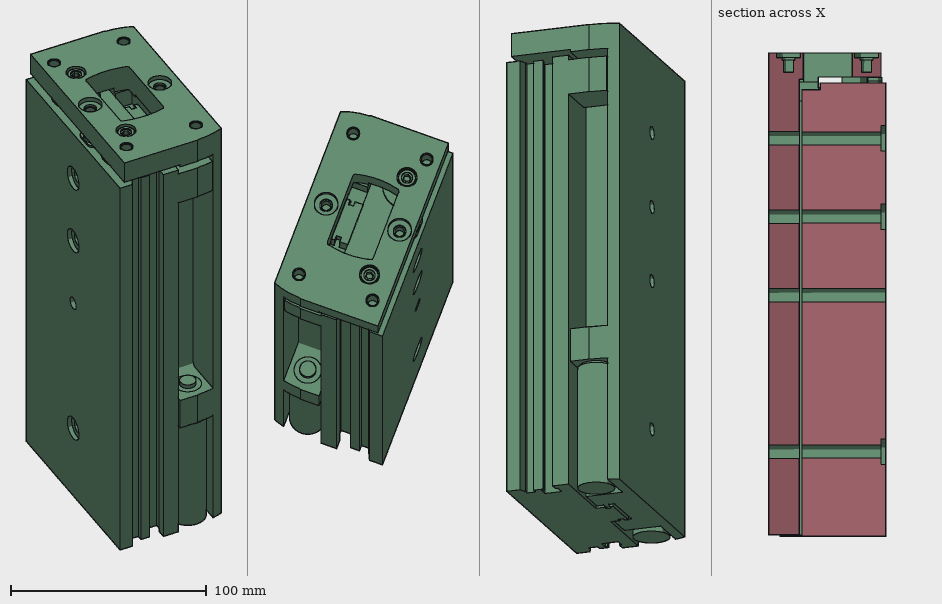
import cadquery as cq

LENGTH = 246.8
WIDTH = 104.0
DEPTH = 60.0
HALF_WIDTH = WIDTH / 2
PITCH = 40.0

FLANK_EDGE_Y = 44.7
FLANK_START_X = 51.5
FLANK_START_Y = 45.7
FLANK_MID_X = 50.8
FLANK_MID_Y = 52.5
REAR_HALF_WIDTH = 48.5

HOUSING_TOP = 231.5
HOUSING_REAR_Y = 33.5
FLANGE_Y = 7.2
FLANGE_BEVEL_Y = 1.7
FLANGE_BEVEL_X = 3.7
SIDE_RECESS_TOP_Y = 13.5
SIDE_RECESS_DEPTH = 6.0
RIB_INSET = 3.0
SLOT_LOW_Y = 18.5
SLOT_HIGH_Y = 25.0
SLOT_LIP = 4.7
SLOT_UNDERCUT = 1.2
SLOT_DEPTH = 9.9
STOP_BOTTOM = 210.5
STOP_TOP = 229.0
STOP_REAR_Y = 53.8
STOP_CLEARANCE = 0.7

PLUG_X = 8.5
PLUG_Y = 5.7
PLUG_LENGTH = 14.3
PLUG_WIDTH = 7.5
PLUG_FOOT_HEIGHT = 1.0
PLUG_HEIGHT = 2.7

RAIL_HALF_WIDTH = 11.4
RAIL_REAR_Y = 43.0
RAIL_TOP = 228.0
NOTCH_HALF_WIDTH = 9.0
NOTCH_LOW_Y = 38.3
NOTCH_HIGH_Y = 41.0

MOUNT_HOLE_D = 6.5
MOUNT_BORE_D = 12.8
MOUNT_BORE_DEPTH = 2.5
PLAIN_HOLE_D = 6.7
PLAIN_HOLE_Z = 123.2
COUNTERBORED_Z = [PLAIN_HOLE_Z + 2 * PITCH, PLAIN_HOLE_Z + PITCH, PLAIN_HOLE_Z - 2 * PITCH]

TABLE_BOTTOM = 0.7
TABLE_FRONT_Y = 34.5
CARRIAGE_HALF_WIDTH = 28.5
CHANNEL_HALF_WIDTH = 12.5
CHANNEL_REAR_Y = 44.2
POCKET_REAR_Y = 54.3
POCKET_TOP = 233.2
POCKET_FILLET = 2.5
BLOCK_BOTTOM = 66.1
BLOCK_TOP = 83.7
END_PLATE_BOTTOM = 234.5
END_PLATE_FRONT_Y = 2.5

WINDOW_LOW_Y = 17.3
WINDOW_HIGH_Y = 42.2
WINDOW_HALF_WIDTH = 19.7
WINDOW_MID_HALF_WIDTH = 21.5
WINDOW_FILLET = 1.5
RECESS_BOTTOM = 222.0
RECESS_TOP = 232.0

FIX_LOW_Y = 9.9
FIX_HIGH_Y = FIX_LOW_Y + PITCH
FIX_DEPTH = 9.9
CORNER_HOLE_D = 5.5
CORNER_HOLE_MOUTH_D = 6.7
CENTER_HOLE_D = 5.0
CENTER_HOLE_MOUTH_D = 6.5
CENTER_HOLE_MOUTH_DEPTH = 3.7
CENTER_BORE_D = 12.0
CENTER_BORE_DEPTH = 2.5

ROD_X = 27.6
ROD_Y = 16.0
ROD_D = 12.8
ROD_BOTTOM = 49.4
GLAND_D = 25.0
GLAND_DEPTH = 1.2
ROD_END_D = 8.6
ROD_END_BORE_D = 10.0
ROD_END_BORE_DEPTH = 2.0
ROD_END_SETBACK = 1.0
SOCKET_MOUTH_D = 5.7
SOCKET_MOUTH_DEPTH = 0.7
SOCKET_SIZE = 4.0
SOCKET_DEPTH = 3.7

ABSORBER_X = 41.0
ABSORBER_Y = 44.7
ABSORBER_BODY_D = 19.0
ABSORBER_CHAMFER = 1.5
ABSORBER_STEM_D = 14.0
ABSORBER_TIP_D = 8.5
ABSORBER_TIP_TOP = 86.0

SIDES = (-1, 1)


def block(x0, x1, y0, y1, z0, z1):
    """Box between two opposite corners."""
    return cq.Workplane("XY").box(x1 - x0, y1 - y0, z1 - z0, centered=False).translate((x0, y0, z0))


def cylinder(x, y, diameter, z0, z1):
    """Upright cylinder between two heights."""
    return cq.Workplane("XY", origin=(x, y, z0)).circle(diameter / 2).extrude(z1 - z0)


def cross_hole(diameter, z, y0, y1):
    """Cylinder along Y on the centre plane."""
    return cq.Workplane("XZ", origin=(0, y0, z)).circle(diameter / 2).extrude(y0 - y1)


def rounded_slab(front_y, z0, z1):
    """Full-width slab with a flat front and rounded rear flanks."""
    return (
        cq.Workplane("XY", origin=(0, 0, z0))
        .moveTo(-HALF_WIDTH, front_y)
        .lineTo(HALF_WIDTH, front_y)
        .lineTo(HALF_WIDTH, FLANK_EDGE_Y)
        .lineTo(FLANK_START_X, FLANK_START_Y)
        .threePointArc((FLANK_MID_X, FLANK_MID_Y), (REAR_HALF_WIDTH, DEPTH))
        .lineTo(-REAR_HALF_WIDTH, DEPTH)
        .threePointArc((-FLANK_MID_X, FLANK_MID_Y), (-FLANK_START_X, FLANK_START_Y))
        .lineTo(-HALF_WIDTH, FLANK_EDGE_Y)
        .close()
        .extrude(z1 - z0)
    )


def mirrored_profile(right_points):
    """Closed outline from its right half, listed from front to rear."""
    left_points = [(-x, y) for x, y in reversed(right_points)]
    return cq.Workplane("XY").polyline(right_points + left_points).close()


def housing_profile():
    """Housing section with a side recess and a T-shaped sensor slot."""
    flange_rear_y = FLANGE_Y + FLANGE_BEVEL_Y
    recess_x = HALF_WIDTH - SIDE_RECESS_DEPTH
    rib_x = HALF_WIDTH - RIB_INSET
    lip_x = HALF_WIDTH - SLOT_LIP
    floor_x = HALF_WIDTH - SLOT_DEPTH
    undercut_low_y = SLOT_LOW_Y - SLOT_UNDERCUT
    undercut_high_y = SLOT_HIGH_Y + SLOT_UNDERCUT
    return mirrored_profile([
        (HALF_WIDTH, 0),
        (HALF_WIDTH, FLANGE_Y),
        (HALF_WIDTH - FLANGE_BEVEL_X, flange_rear_y),
        (recess_x, flange_rear_y),
        (recess_x, SIDE_RECESS_TOP_Y),
        (rib_x, SIDE_RECESS_TOP_Y),
        (rib_x, SLOT_LOW_Y),
        (lip_x, SLOT_LOW_Y),
        (lip_x, undercut_low_y),
        (floor_x, undercut_low_y),
        (floor_x, undercut_high_y),
        (lip_x, undercut_high_y),
        (lip_x, SLOT_HIGH_Y),
        (HALF_WIDTH, SLOT_HIGH_Y),
        (HALF_WIDTH, HOUSING_REAR_Y),
    ])


def grooved_profile(half_width, rear_y):
    """Rail-like section with a side groove for the carriage tongues."""
    return mirrored_profile([
        (half_width, HOUSING_REAR_Y),
        (half_width, NOTCH_LOW_Y),
        (NOTCH_HALF_WIDTH, NOTCH_LOW_Y),
        (NOTCH_HALF_WIDTH, NOTCH_HIGH_Y),
        (half_width, NOTCH_HIGH_Y),
        (half_width, rear_y),
    ])


def stop_blocks():
    """Pair of blocks on the housing that end the stroke of the driver block."""
    slab = rounded_slab(HOUSING_REAR_Y, STOP_BOTTOM, STOP_TOP)
    inner_x = CARRIAGE_HALF_WIDTH + STOP_CLEARANCE
    slab = slab.cut(block(-HALF_WIDTH, HALF_WIDTH, STOP_REAR_Y, DEPTH, STOP_BOTTOM, STOP_TOP))
    return slab.cut(block(-inner_x, inner_x, HOUSING_REAR_Y, DEPTH, STOP_BOTTOM, STOP_TOP))


def plug():
    """Oblong foot and round pad standing on the housing top."""
    base = cq.Workplane("XY", origin=(PLUG_X, PLUG_Y, HOUSING_TOP))
    foot = base.slot2D(PLUG_LENGTH, PLUG_WIDTH).extrude(PLUG_FOOT_HEIGHT)
    return foot.union(base.circle(PLUG_WIDTH / 2).extrude(PLUG_HEIGHT))


def make_housing():
    body = housing_profile().extrude(HOUSING_TOP)
    body = body.union(grooved_profile(RAIL_HALF_WIDTH, RAIL_REAR_Y).extrude(RAIL_TOP))
    body = body.union(stop_blocks()).union(plug())
    for side in SIDES:
        body = body.cut(cylinder(side * ROD_X, ROD_Y, ROD_D, ROD_BOTTOM, HOUSING_TOP))
        body = body.cut(cylinder(side * ROD_X, ROD_Y, GLAND_D, HOUSING_TOP - GLAND_DEPTH, HOUSING_TOP))
    for z in COUNTERBORED_Z:
        body = body.cut(cross_hole(MOUNT_HOLE_D, z, 0, RAIL_REAR_Y))
        body = body.cut(cross_hole(MOUNT_BORE_D, z, 0, MOUNT_BORE_DEPTH))
    return body.cut(cross_hole(PLAIN_HOLE_D, PLAIN_HOLE_Z, 0, RAIL_REAR_Y))


def side_pocket(side, z0, z1, rounded_edges):
    """Pocket beside the carriage, rounded along the chosen edges next to it."""
    inner_x = side * CARRIAGE_HALF_WIDTH
    outer_x = side * (HALF_WIDTH + 2.5)
    x0, x1 = sorted((inner_x, outer_x))
    pocket = block(x0, x1, TABLE_FRONT_Y, POCKET_REAR_Y, z0, z1)
    inner_face = pocket.faces("<X" if side > 0 else ">X")
    return inner_face.edges(rounded_edges).fillet(POCKET_FILLET)


def window():
    """Cutter for the end plate opening."""
    middle_y = (WINDOW_LOW_Y + WINDOW_HIGH_Y) / 2
    return (
        cq.Workplane("XY", origin=(0, 0, RECESS_TOP))
        .moveTo(-WINDOW_HALF_WIDTH, WINDOW_LOW_Y)
        .lineTo(WINDOW_HALF_WIDTH, WINDOW_LOW_Y)
        .threePointArc((WINDOW_MID_HALF_WIDTH, middle_y), (WINDOW_HALF_WIDTH, WINDOW_HIGH_Y))
        .lineTo(-WINDOW_HALF_WIDTH, WINDOW_HIGH_Y)
        .threePointArc((-WINDOW_MID_HALF_WIDTH, middle_y), (-WINDOW_HALF_WIDTH, WINDOW_LOW_Y))
        .close()
        .extrude(LENGTH - RECESS_TOP)
        .edges("|Z")
        .fillet(WINDOW_FILLET)
    )


def carriage_recess():
    """Cutter that clears the rail end below the window."""
    half_width = WINDOW_HALF_WIDTH
    return block(-half_width, half_width, TABLE_FRONT_Y, CHANNEL_REAR_Y, RECESS_BOTTOM, RECESS_TOP)


def stepped_hole(x, y, diameter, depth, mouth_diameter, mouth_depth):
    """Cutter for a hole from the top of the end plate with a wider mouth."""
    hole = cylinder(x, y, diameter, LENGTH - depth, LENGTH)
    return hole.union(cylinder(x, y, mouth_diameter, LENGTH - mouth_depth, LENGTH))


def cut_end_plate_holes(body):
    corner_mouth_depth = (CORNER_HOLE_MOUTH_D - CORNER_HOLE_D) / 2
    plate_thickness = LENGTH - END_PLATE_BOTTOM
    for y in (FIX_LOW_Y, FIX_HIGH_Y):
        center = stepped_hole(0, y, CENTER_HOLE_D, FIX_DEPTH, CENTER_HOLE_MOUTH_D, CENTER_HOLE_MOUTH_DEPTH)
        body = body.cut(center)
        body = body.cut(cylinder(0, y, CENTER_BORE_D, LENGTH - CENTER_BORE_DEPTH, LENGTH))
        for side in SIDES:
            corner = stepped_hole(
                side * PITCH, y, CORNER_HOLE_D, FIX_DEPTH, CORNER_HOLE_MOUTH_D, corner_mouth_depth
            )
            body = body.cut(corner)
    for side in SIDES:
        rod_seat = stepped_hole(
            side * ROD_X, ROD_Y, ROD_END_D, plate_thickness, ROD_END_BORE_D, ROD_END_BORE_DEPTH
        )
        body = body.cut(rod_seat)
    return body


def make_table():
    body = rounded_slab(TABLE_FRONT_Y, TABLE_BOTTOM, END_PLATE_BOTTOM)
    for side in SIDES:
        body = body.cut(side_pocket(side, BLOCK_TOP, POCKET_TOP, "|Y"))
        body = body.cut(side_pocket(side, TABLE_BOTTOM, BLOCK_BOTTOM, "|Y and >Z"))
        absorber_hole = cylinder(
            side * ABSORBER_X, ABSORBER_Y, ABSORBER_STEM_D, BLOCK_BOTTOM, BLOCK_TOP
        )
        body = body.cut(absorber_hole)
    body = body.cut(grooved_profile(CHANNEL_HALF_WIDTH, CHANNEL_REAR_Y).extrude(POCKET_TOP))
    body = body.union(rounded_slab(END_PLATE_FRONT_Y, END_PLATE_BOTTOM, LENGTH))
    body = body.cut(window())
    body = body.cut(carriage_recess())
    body = cut_end_plate_holes(body)
    for z in COUNTERBORED_Z + [PLAIN_HOLE_Z]:
        body = body.cut(cross_hole(PLAIN_HOLE_D, z, TABLE_FRONT_Y, DEPTH))
    return body


def make_rod(side):
    x = side * ROD_X
    end_top = LENGTH - ROD_END_SETBACK
    shank = cylinder(x, ROD_Y, ROD_D, ROD_BOTTOM, END_PLATE_BOTTOM)
    rod = shank.union(cylinder(x, ROD_Y, ROD_END_D, END_PLATE_BOTTOM, end_top))
    socket = cq.Workplane("XY", origin=(x, ROD_Y, end_top)).polygon(6, SOCKET_SIZE).extrude(-SOCKET_DEPTH)
    mouth = cylinder(x, ROD_Y, SOCKET_MOUTH_D, end_top - SOCKET_MOUTH_DEPTH, end_top)
    return rod.cut(socket).cut(mouth)


def make_absorber(side):
    x = side * ABSORBER_X
    body = cylinder(x, ABSORBER_Y, ABSORBER_BODY_D, 0, BLOCK_BOTTOM)
    body = body.faces(">Z").edges().chamfer(ABSORBER_CHAMFER)
    stem = cylinder(x, ABSORBER_Y, ABSORBER_STEM_D, BLOCK_BOTTOM, BLOCK_TOP)
    tip = cylinder(x, ABSORBER_Y, ABSORBER_TIP_D, BLOCK_TOP, ABSORBER_TIP_TOP)
    return body.union(stem).union(tip)


housing = make_housing()
table = make_table()
rods = [make_rod(side).val() for side in SIDES]
absorbers = [make_absorber(side).val() for side in SIDES]

result = cq.Compound.makeCompound([housing.val(), table.val(), *rods, *absorbers])